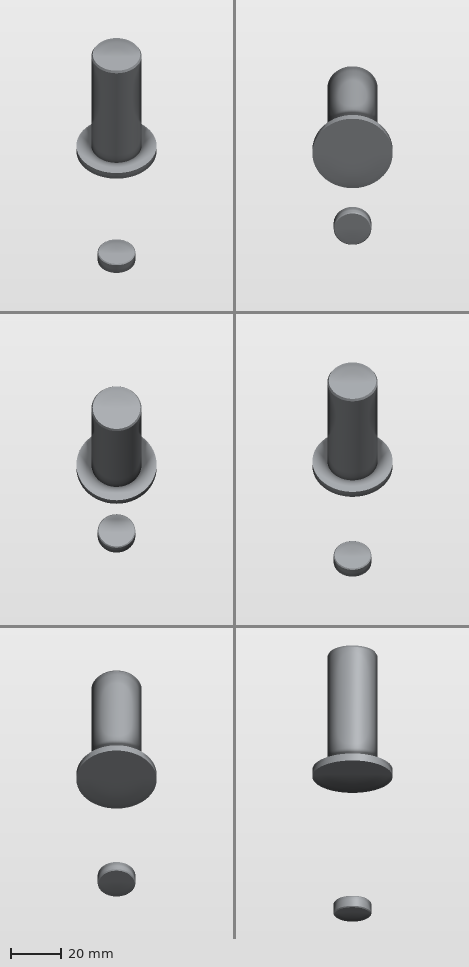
import cadquery as cq

total_height = 113.0

flange_diameter = 32.0
flange_thickness = 3.0
shank_diameter = 20.0
shank_length = 50.0
shank_chamfer_height = 0.9
shank_chamfer_inset = 0.52

disc_diameter = 15.0
disc_thickness = 5.0
disc_chamfer = 0.4

flange_bottom = total_height - shank_length - flange_thickness


def make_headed_pin():
    """Round shank on a flat flange, with a chamfered free end."""
    flange = cq.Workplane("XY").circle(flange_diameter / 2).extrude(flange_thickness)
    pin = flange.faces(">Z").workplane().circle(shank_diameter / 2).extrude(shank_length)
    pin = pin.faces(">Z").edges().chamfer(shank_chamfer_height, shank_chamfer_inset)
    return pin.translate((0, 0, flange_bottom))


def make_disc():
    """Plain disc with both rims chamfered."""
    disc = cq.Workplane("XY").circle(disc_diameter / 2).extrude(disc_thickness)
    return disc.faces("<Z or >Z").edges().chamfer(disc_chamfer)


headed_pin = make_headed_pin()
disc = make_disc()

result = cq.Compound.makeCompound([headed_pin.val(), disc.val()])